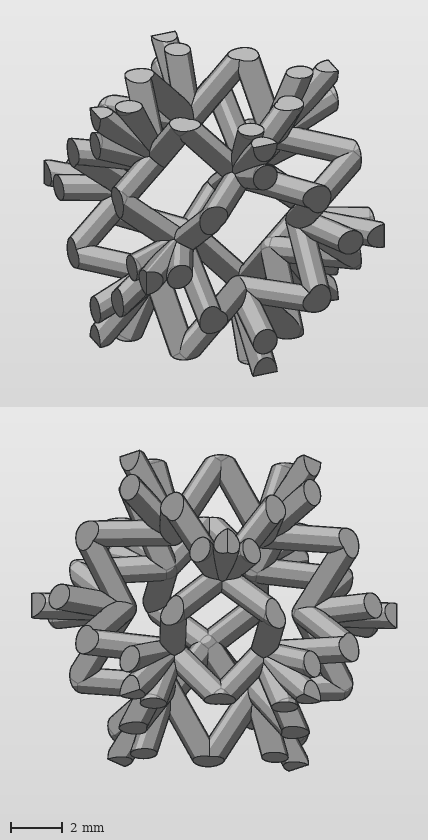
import cadquery as cq
import math

cell = 10.0
strut_diameter = 1.0
inner_node = 2.48
face_node = 2.25
side_branch = 3.61

half = cell / 2
radius = strut_diameter / 2
cube = cq.Workplane("XY").box(cell, cell, cell)


def trimmed_strut(start, end):
    """Round strut with a flat start and a domed end centred on the outer node, cut to the cube."""
    axis = cq.Vector(*end) - cq.Vector(*start)
    length = axis.Length
    dome_offset = radius * math.sqrt(0.5)
    rod = (
        cq.Workplane("XZ")
        .lineTo(radius, 0)
        .lineTo(radius, length)
        .threePointArc((dome_offset, length + dome_offset), (0, length + radius))
        .close()
        .revolve(360, (0, 0, 0), (0, 1, 0))
    )
    location = cq.Plane(origin=start, normal=axis.toTuple()).location
    return rod.val().moved(location).intersect(cube.val())


def node_cluster():
    """Seven struts spreading from the inner node at +Y +Z to the faces of the cube."""
    node = (0, inner_node, inner_node)
    ends = [(0, half, half), (0, half, side_branch), (0, side_branch, half)]
    for sign in (-1, 1):
        ends.append((sign * face_node, half, face_node))
        ends.append((sign * face_node, face_node, half))

    ball = cq.Workplane("XY").sphere(radius).translate(node)
    return ball.val().fuse(*[trimmed_strut(node, end) for end in ends])


cluster = node_cluster()

centre = (0, 0, 0)
quarter_turns = (0, 90, 180, 270)
ring = [cluster.rotate(centre, (1, 0, 0), angle) for angle in quarter_turns]
clusters = []
for angle in (0, 120, 240):
    clusters += [member.rotate(centre, (1, 1, 1), angle) for member in ring]

lattice = clusters[0]
for neighbour in clusters[1:]:
    lattice = lattice.fuse(neighbour)

result = cq.Workplane("XY").newObject(lattice.clean().Solids())